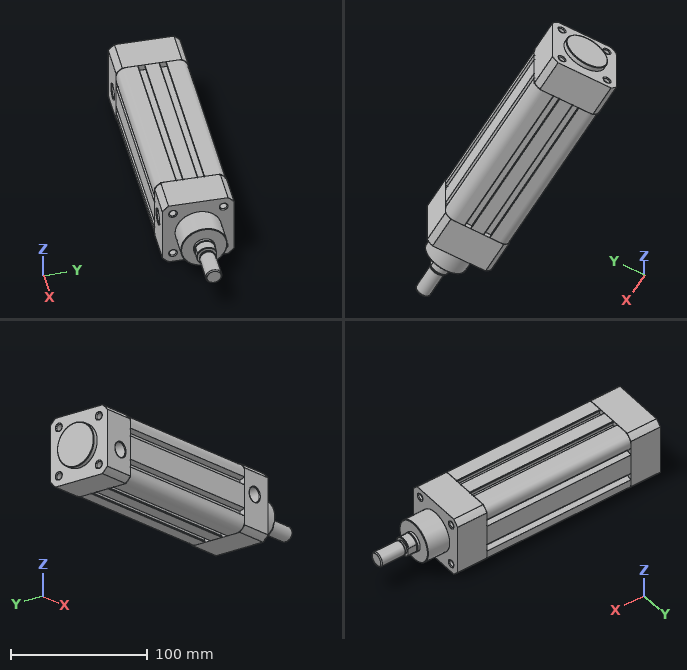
import cadquery as cq
import math

TOTAL_LENGTH = 243.0
REAR_BOSS_LENGTH = 4.0
CAP_LENGTH = 27.0
TUBE_LENGTH = 131.2
FRONT_BOSS_LENGTH = 20.0

WIDTH = 54.0
HALF_WIDTH = WIDTH / 2

CAP_CORNER_RADIUS = 35.0
BOSS_DIAMETER = 34.7
BOSS_CHAMFER = 0.5
BOLT_SPACING = 38.0
BOLT_HOLE_DIAMETER = 5.0
BOLT_COUNTERSINK_DIAMETER = 6.5
COUNTERSINK_ANGLE = 90.0
PORT_DIAMETER = 11.7
PORT_CHAMFER_WIDTH = 0.5
PORT_CHAMFER_DEPTH = 0.7
PORT_DEPTH = 14.5
PORT_OFFSET = 4.9
PORT_POSITION = 11.7

TUBE_CORNER_RADIUS = 8.0
TOP_SLOT_WIDTH = 5.0
TOP_SLOT_LIP = 1.2
TOP_SLOT_UNDERCUT = 0.7
TOP_SLOT_DEPTH = 4.5
TOP_SLOT_OFFSET = 8.0
SIDE_SLOT_WIDTH = 6.0
SIDE_SLOT_FLOOR_WIDTH = 3.2
SIDE_SLOT_DEPTH = 4.5
SIDE_SLOT_OFFSET = 12.2

COLLAR_DIAMETER = 16.0
COLLAR_LENGTH = 2.0
SHANK_DIAMETER = 15.5
SHANK_LENGTH = 7.5
SHANK_END_DIAMETER = 15.0
CONE_LENGTH = 0.7
FLATS_WIDTH = 14.0
NECK_DIAMETER = 11.0
NECK_LENGTH = 1.7
THREAD_DIAMETER = 12.2
THREAD_TIP_DIAMETER = 10.7
THREAD_TIP_LENGTH = 1.0

REAR_CAP_START = REAR_BOSS_LENGTH
TUBE_START = REAR_CAP_START + CAP_LENGTH
FRONT_CAP_START = TUBE_START + TUBE_LENGTH
FRONT_CAP_END = FRONT_CAP_START + CAP_LENGTH
ROD_START = FRONT_CAP_END + FRONT_BOSS_LENGTH
COLLAR_END = ROD_START + COLLAR_LENGTH
SHANK_START = COLLAR_END + CONE_LENGTH
SHANK_END = SHANK_START + SHANK_LENGTH
NECK_END = SHANK_END + NECK_LENGTH


def cylinder_along_x(start, length, diameter):
    return cq.Workplane("YZ").workplane(offset=start).circle(diameter / 2).extrude(length)


def square_bar(start, length):
    return cq.Workplane("YZ").workplane(offset=start).rect(WIDTH, WIDTH).extrude(length)


def make_cap(boss_length, port_z):
    """End cap with its inner face at X = 0 and its boss pointing toward +X."""
    cap = square_bar(0, CAP_LENGTH).intersect(cylinder_along_x(0, CAP_LENGTH, 2 * CAP_CORNER_RADIUS))

    cap = (
        cap.faces(">X").workplane(origin=(0, 0, 0))
        .rect(BOLT_SPACING, BOLT_SPACING, forConstruction=True).vertices()
        .cskHole(BOLT_HOLE_DIAMETER, BOLT_COUNTERSINK_DIAMETER, COUNTERSINK_ANGLE)
    )

    boss = cylinder_along_x(0, CAP_LENGTH + boss_length, BOSS_DIAMETER)
    cap = cap.union(boss.faces(">X").chamfer(BOSS_CHAMFER))

    mouth = cq.Workplane("XZ", origin=(PORT_POSITION, -HALF_WIDTH, port_z))
    port = mouth.circle(PORT_DIAMETER / 2).extrude(-PORT_DEPTH)
    taper = math.degrees(math.atan2(PORT_CHAMFER_WIDTH, PORT_CHAMFER_DEPTH))
    mouth_radius = PORT_DIAMETER / 2 + PORT_CHAMFER_WIDTH
    port_chamfer = mouth.circle(mouth_radius).extrude(-PORT_CHAMFER_DEPTH, taper=taper)
    return cap.cut(port).cut(port_chamfer)


def make_rear_cap():
    cap = make_cap(REAR_BOSS_LENGTH, -PORT_OFFSET)
    return cap.mirror("YZ").translate((TUBE_START, 0, 0))


def make_front_cap():
    cap = make_cap(FRONT_BOSS_LENGTH, PORT_OFFSET)
    return cap.translate((FRONT_CAP_START, 0, 0))


def make_top_slot(middle_y, side):
    """Cutter for a T-slot in the top (side = 1) or bottom (side = -1) face of the tube."""
    profile = cq.Workplane("YZ").workplane(offset=TUBE_START)
    groove_width = TOP_SLOT_WIDTH + 2 * TOP_SLOT_UNDERCUT
    groove_height = TOP_SLOT_DEPTH - TOP_SLOT_LIP
    mouth_z = side * (HALF_WIDTH - TOP_SLOT_LIP / 2)
    groove_z = side * (HALF_WIDTH - TOP_SLOT_LIP - groove_height / 2)
    mouth = profile.center(middle_y, mouth_z).rect(TOP_SLOT_WIDTH, TOP_SLOT_LIP).extrude(TUBE_LENGTH)
    groove = profile.center(middle_y, groove_z).rect(groove_width, groove_height).extrude(TUBE_LENGTH)
    return mouth.union(groove)


def make_side_slot(middle_z, side):
    """Cutter for a tapered slot in the +Y (side = 1) or -Y (side = -1) face of the tube."""
    mouth_y = side * HALF_WIDTH
    floor_y = side * (HALF_WIDTH - SIDE_SLOT_DEPTH)
    return (
        cq.Workplane("YZ").workplane(offset=TUBE_START)
        .moveTo(mouth_y, middle_z - SIDE_SLOT_WIDTH / 2)
        .lineTo(floor_y, middle_z - SIDE_SLOT_FLOOR_WIDTH / 2)
        .lineTo(floor_y, middle_z + SIDE_SLOT_FLOOR_WIDTH / 2)
        .lineTo(mouth_y, middle_z + SIDE_SLOT_WIDTH / 2)
        .close().extrude(TUBE_LENGTH)
    )


def make_tube():
    tube = square_bar(TUBE_START, TUBE_LENGTH).edges("|X").fillet(TUBE_CORNER_RADIUS)
    for side in (-1, 1):
        for direction in (-1, 1):
            tube = tube.cut(make_top_slot(direction * TOP_SLOT_OFFSET, side))
            tube = tube.cut(make_side_slot(direction * SIDE_SLOT_OFFSET, side))
    return tube


def make_rod():
    rod = (
        cq.Workplane("XY")
        .moveTo(ROD_START, 0)
        .lineTo(ROD_START, COLLAR_DIAMETER / 2)
        .lineTo(COLLAR_END, COLLAR_DIAMETER / 2)
        .lineTo(SHANK_START, SHANK_DIAMETER / 2)
        .lineTo(SHANK_END - CONE_LENGTH, SHANK_DIAMETER / 2)
        .lineTo(SHANK_END, SHANK_END_DIAMETER / 2)
        .lineTo(SHANK_END, NECK_DIAMETER / 2)
        .lineTo(NECK_END, NECK_DIAMETER / 2)
        .lineTo(NECK_END, THREAD_DIAMETER / 2)
        .lineTo(TOTAL_LENGTH - THREAD_TIP_LENGTH, THREAD_DIAMETER / 2)
        .lineTo(TOTAL_LENGTH, THREAD_TIP_DIAMETER / 2)
        .lineTo(TOTAL_LENGTH, 0)
        .close()
        .revolve(360, (0, 0, 0), (1, 0, 0))
    )

    around_shank = cylinder_along_x(SHANK_START, SHANK_LENGTH, COLLAR_DIAMETER)
    across_flats = (
        cq.Workplane("YZ").workplane(offset=SHANK_START)
        .rect(FLATS_WIDTH, COLLAR_DIAMETER).extrude(SHANK_LENGTH)
    )
    return rod.cut(around_shank.cut(across_flats))


rear_cap = make_rear_cap()
tube = make_tube()
front_cap = make_front_cap()
rod = make_rod()

result = cq.Compound.makeCompound([rear_cap.val(), tube.val(), front_cap.val(), rod.val()])